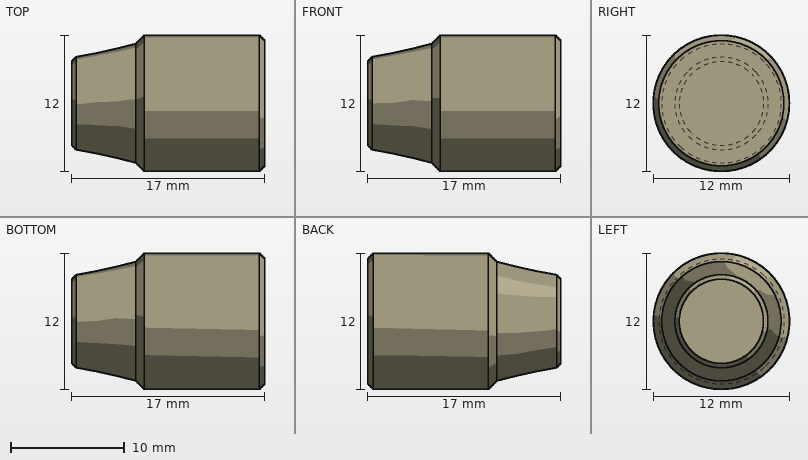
import cadquery as cq

length = 17.0
body_radius = 6.0

tip_chamfer = 0.39
nose_radius = 4.1
nose_length = 5.65
nose_base_radius = 5.25
taper_sag = 0.07

shoulder_chamfer = body_radius - nose_base_radius
end_chamfer = 0.5

taper_middle = (
    (tip_chamfer + nose_length) / 2,
    (nose_radius + nose_base_radius) / 2 - taper_sag,
)

profile = (
    cq.Workplane("XY")
    .moveTo(0, 0)
    .lineTo(0, nose_radius - tip_chamfer)
    .lineTo(tip_chamfer, nose_radius)
    .threePointArc(taper_middle, (nose_length, nose_base_radius))
    .lineTo(nose_length + shoulder_chamfer, body_radius)
    .lineTo(length - end_chamfer, body_radius)
    .lineTo(length, body_radius - end_chamfer)
    .lineTo(length, 0)
    .close()
)

result = profile.revolve(360, (0, 0, 0), (1, 0, 0)).translate((-length / 2, 0, 0))